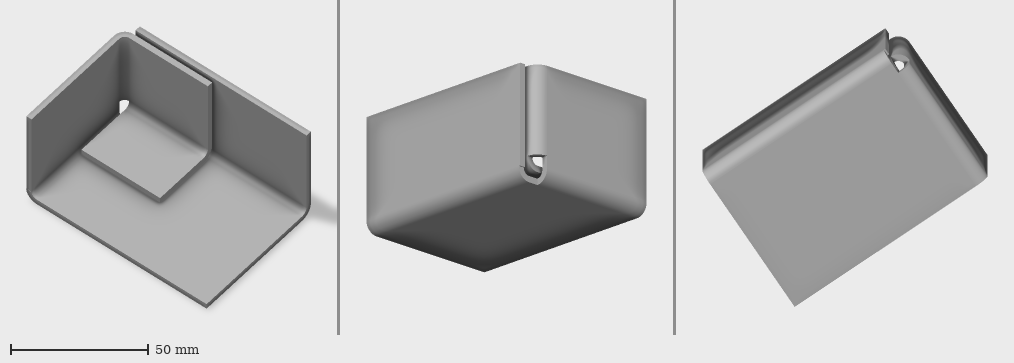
import cadquery as cq

length = 85.0
depth = 60.0
height = 45.0
thickness = 2.5
outer_radius = 5.0
inner_radius = outer_radius - thickness

back_wall_overhang = 0.6
flap_setback = 4.3
flap_end = 42.1
left_wall_inset = 0.1
shelf_front = 25.7

flap_back = depth - flap_setback
left_wall_back = flap_back - outer_radius
base_back = depth - outer_radius
shelf_bottom = outer_radius
shelf_bend_top = shelf_bottom + outer_radius


def block(start, end):
    """Box between two opposite corners."""
    size = [b - a for a, b in zip(start, end)]
    return cq.Workplane("XY").box(*size, centered=False).translate(start)


def bend(plane, axis_point, u_side, v_side, extent):
    """Quarter-tube bend about the plane's normal, in the given quadrant of the plane."""
    diagonal = 0.5 ** 0.5

    def on_arc(radius):
        return (u_side * radius * diagonal, v_side * radius * diagonal)

    return (
        cq.Workplane(plane, origin=axis_point)
        .moveTo(u_side * inner_radius, 0)
        .lineTo(u_side * outer_radius, 0)
        .threePointArc(on_arc(outer_radius), (0, v_side * outer_radius))
        .lineTo(0, v_side * inner_radius)
        .threePointArc(on_arc(inner_radius), (u_side * inner_radius, 0))
        .close()
        .extrude(extent)
    )


base = block((outer_radius, 0, 0), (length, base_back, thickness))
left_wall = block((0, left_wall_inset, outer_radius), (thickness, left_wall_back, height))
left_bend = bend("XZ", (outer_radius, 0, outer_radius), -1, -1, -left_wall_back)
back_wall = block(
    (outer_radius - back_wall_overhang, depth - thickness, outer_radius),
    (length, depth, height),
)
back_bend = bend("YZ", (outer_radius, base_back, outer_radius), 1, -1, length - outer_radius)

flap = block((outer_radius, flap_back - thickness, shelf_bend_top), (flap_end, flap_back, height))
flap_bend = bend(
    "XY", (outer_radius, left_wall_back, shelf_bend_top), -1, 1, height - shelf_bend_top
)

shelf = block(
    (outer_radius, shelf_front, shelf_bottom),
    (flap_end, left_wall_back, shelf_bottom + thickness),
)
shelf_bend = bend(
    "YZ", (outer_radius, left_wall_back, shelf_bend_top), 1, -1, flap_end - outer_radius
)

result = base
for sheet in (left_bend, left_wall, back_bend, back_wall, flap_bend, flap, shelf_bend, shelf):
    result = result.union(sheet)